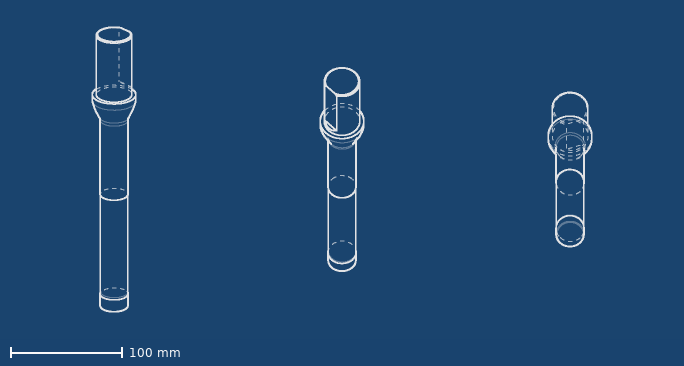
import cadquery as cq

total_length = 272.0

tip_radius = 25.3 / 2
tip_length = 12.8
point_height = 0.5
tip_edge_round = 0.8

relief_radius = 25.0 / 2
relief_start = 15.2
relief_end = 112.3
neck_radius = 25.3 / 2
flare_start = 186.5

collar_radius = 39.5 / 2
collar_height = 6.0
flare_bend_radius = 13.5
flare_bend_z = 190.0

shank_radius = 32.0 / 2
shank_length = 60.0
shank_chamfer = 1.0
flat_offset = 14.0
flat_start = 3.8

collar_top = total_length - shank_length
collar_bottom = collar_top - collar_height


def make_tip():
    """Cutting tip: a short cylinder with a shallow conical point and a rounded rim."""
    return (
        cq.Workplane("XZ")
        .lineTo(tip_radius, point_height)
        .lineTo(tip_radius, tip_length)
        .lineTo(0, tip_length)
        .close()
        .revolve(360, (0, 0), (0, 1))
        .edges("%CIRCLE")
        .edges("<Z")
        .fillet(tip_edge_round)
    )


def make_lower_body():
    """Relieved shaft, neck, flare and collar."""
    return (
        cq.Workplane("XZ")
        .moveTo(0, tip_length)
        .lineTo(tip_radius, tip_length)
        .lineTo(relief_radius, relief_start)
        .lineTo(relief_radius, relief_end)
        .lineTo(neck_radius, relief_end)
        .lineTo(neck_radius, flare_start)
        .tangentArcPoint((flare_bend_radius, flare_bend_z), relative=False)
        .tangentArcPoint((collar_radius, collar_bottom), relative=False)
        .lineTo(collar_radius, collar_top)
        .lineTo(0, collar_top)
        .close()
        .revolve(360, (0, 0), (0, 1))
    )


def make_shank():
    """Chamfered clamping shank with a flat on its +Y side."""
    shank = (
        cq.Workplane("XY")
        .workplane(offset=collar_top)
        .circle(shank_radius)
        .extrude(shank_length)
        .faces(">Z")
        .chamfer(shank_chamfer)
    )
    slope_z = collar_top + flat_start
    flat_depth = shank_radius - flat_offset
    flat_cut = (
        cq.Workplane("YZ")
        .moveTo(shank_radius, slope_z)
        .lineTo(flat_offset, slope_z + flat_depth)
        .lineTo(flat_offset, total_length)
        .lineTo(shank_radius, total_length)
        .close()
        .extrude(shank_radius, both=True)
    )
    return shank.cut(flat_cut)


tip = make_tip()
drill_body = make_lower_body().union(make_shank())

result = cq.Compound.makeCompound([tip.val(), drill_body.val()])